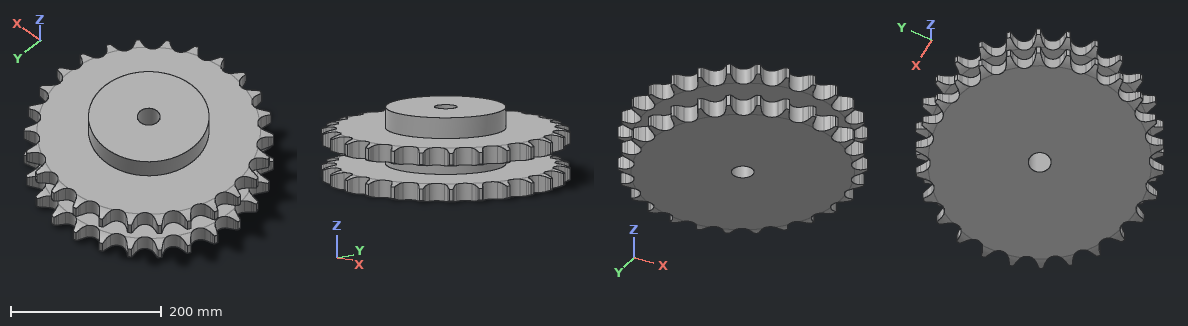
import cadquery as cq
import math


teeth = 26
chain_pitch = 38.1
roller_diameter = 25.4
strand_pitch = 48.4

tip_radius = 331 / 2
disc_thickness = 23.6
relief_radius = 40.0
relief_depth = 4.0
hub_diameter = 160.0
hub_height = 100.0
bore_diameter = 30.0

tooth_angle = 360 / teeth
pitch_radius = chain_pitch / 2 / math.sin(math.pi / teeth)
cutter_clearance = 2.0

allowance = 0.0381
seat_radius = 0.5025 * roller_diameter + allowance
working_radius = 1.3025 * roller_diameter + allowance
seat_end_angle = math.radians(35 + 60 / teeth)
working_sweep = math.radians(18 - 56 / teeth)
topping_angle = math.radians(17 - 64 / teeth)
flank_angle = seat_end_angle - working_sweep
flank_length = roller_diameter * (1.4 * math.sin(topping_angle) - 0.8 * math.sin(working_sweep))
topping_radius = (
    roller_diameter * (0.8 * math.cos(working_sweep) + 1.4 * math.cos(topping_angle) - 1.3025) - allowance
)


def polar_offset(point, distance, angle):
    """Point reached from another one by a distance along an angle in radians."""
    return (point[0] + distance * math.cos(angle), point[1] + distance * math.sin(angle))


def mirrored(point):
    """The same point on the other flank of a gap centred on the Y axis."""
    return (-point[0], point[1])


def make_gap_cutter():
    """Prism shaped like one tooth gap, centred on +Y and as thick as a disc."""
    seat_centre = (0, pitch_radius)
    seat_bottom = (0, pitch_radius - seat_radius)
    seat_end = polar_offset(seat_centre, seat_radius, -seat_end_angle)

    working_centre = polar_offset(seat_end, -working_radius, -seat_end_angle)
    working_middle = polar_offset(working_centre, working_radius, -(seat_end_angle + flank_angle) / 2)
    working_end = polar_offset(working_centre, working_radius, -flank_angle)

    flank_end = polar_offset(working_end, flank_length, math.pi / 2 - flank_angle)
    topping_centre = polar_offset(flank_end, topping_radius, -flank_angle)
    top_y = tip_radius + cutter_clearance
    topping_end_angle = math.pi - math.asin((top_y - topping_centre[1]) / topping_radius)
    topping_middle_angle = (math.pi - flank_angle + topping_end_angle) / 2
    topping_middle = polar_offset(topping_centre, topping_radius, topping_middle_angle)
    topping_end = polar_offset(topping_centre, topping_radius, topping_end_angle)

    return (
        cq.Workplane("XY")
        .moveTo(*topping_end)
        .threePointArc(topping_middle, flank_end)
        .lineTo(*working_end)
        .threePointArc(working_middle, seat_end)
        .threePointArc(seat_bottom, mirrored(seat_end))
        .threePointArc(mirrored(working_middle), mirrored(working_end))
        .lineTo(*mirrored(flank_end))
        .threePointArc(mirrored(topping_middle), mirrored(topping_end))
        .close()
        .extrude(disc_thickness)
    )


def make_disc_blank():
    """Disc whose two faces curve inward towards the rim."""
    relief_reach = math.sqrt(relief_radius**2 - (relief_radius - relief_depth) ** 2)
    relief_start = tip_radius - relief_reach
    relief_middle_angle = math.asin(relief_reach / relief_radius) / 2
    middle_x = relief_start + relief_radius * math.sin(relief_middle_angle)
    middle_drop = relief_radius * (1 - math.cos(relief_middle_angle))
    return (
        cq.Workplane("XZ")
        .moveTo(0, 0)
        .lineTo(relief_start, 0)
        .threePointArc((middle_x, middle_drop), (tip_radius, relief_depth))
        .lineTo(tip_radius, disc_thickness - relief_depth)
        .threePointArc((middle_x, disc_thickness - middle_drop), (relief_start, disc_thickness))
        .lineTo(0, disc_thickness)
        .close()
        .revolve(360, (0, 0, 0), (0, 1, 0))
    )


def make_toothed_disc():
    """Disc blank with all gaps cut; a tooth is centred on +X."""
    first_gap = make_gap_cutter().rotate((0, 0, 0), (0, 0, 1), tooth_angle / 2 - 90)
    disc = make_disc_blank()
    for index in range(teeth):
        disc = disc.cut(first_gap.rotate((0, 0, 0), (0, 0, 1), index * tooth_angle))
    return disc


toothed_disc = make_toothed_disc()
hub = cq.Workplane("XY").circle(hub_diameter / 2).extrude(hub_height)
bore = cq.Workplane("XY").circle(bore_diameter / 2).extrude(hub_height)

result = hub.union(toothed_disc).union(toothed_disc.translate((0, 0, strand_pitch))).cut(bore)